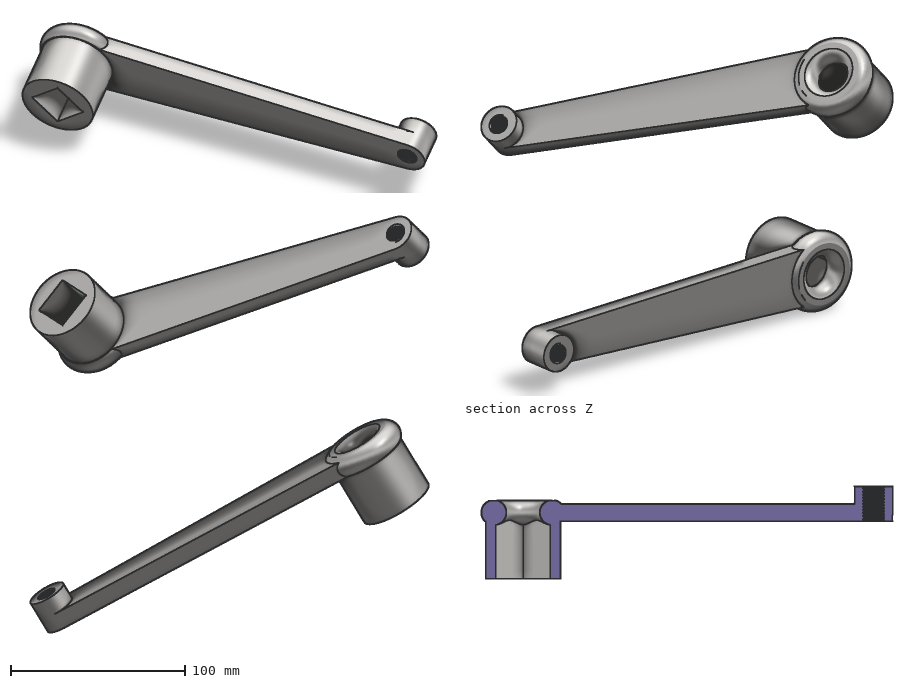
import cadquery as cq
import math


arm_length = 201.0
arm_thickness = 10.0
arm_hub_radius = 18.0
pin_radius = 22.0 / 2
pin_back = 20.0

flange_radius = 24.0
flange_thickness = 12.0
boss_radius = 43.0 / 2
boss_length = 33.0

ring_tube_radius = 7.25
ring_centre_y = arm_thickness / 2
ring_centre_radius = flange_radius - ring_tube_radius
ring_bore_radius = ring_centre_radius - ring_tube_radius

socket_side = 22.0

thread_major_radius = 12.0 / 2
thread_pitch = 1.75
thread_depth = 0.6134 * thread_pitch
thread_minor_radius = thread_major_radius - thread_depth
groove_half_angle = math.radians(30)
groove_root_width = thread_pitch / 8
groove_overlap = 0.2


def cylinder_along_y(x, radius, y_start, y_end):
    """Solid cylinder parallel to Y, centred at (x, Z = 0)."""
    return (
        cq.Workplane("XZ", origin=(x, y_start, 0))
        .circle(radius)
        .extrude(y_start - y_end)
    )


def ring_half_width(y):
    """Radial half-width of the ring tube at height y."""
    return math.sqrt(ring_tube_radius**2 - (y - ring_centre_y) ** 2)


def revolve_about_hub_axis(profile):
    """Full revolution of an XY profile about the Y axis."""
    return profile.revolve(360, (0, 0, 0), (0, 1, 0))


def make_hub():
    """Solid boss and the outer half of the ring, closed across the bore."""
    ring_front_radius = ring_centre_radius + ring_half_width(0)
    ring_back_radius = ring_centre_radius + ring_half_width(flange_thickness)
    return revolve_about_hub_axis(
        cq.Workplane("XY")
        .moveTo(0, -boss_length)
        .lineTo(boss_radius, -boss_length)
        .lineTo(boss_radius, 0)
        .lineTo(ring_front_radius, 0)
        .threePointArc((flange_radius, ring_centre_y), (ring_back_radius, flange_thickness))
        .lineTo(0, flange_thickness)
        .close()
    )


def make_arm():
    """Flat arm with straight edges tangent to the pin boss and to a circle at the hub."""
    tangent_sin = (arm_hub_radius - pin_radius) / arm_length
    tangent_cos = math.sqrt(1 - tangent_sin**2)
    hub_x = arm_hub_radius * tangent_sin
    hub_z = arm_hub_radius * tangent_cos
    pin_x = arm_length + pin_radius * tangent_sin
    pin_z = pin_radius * tangent_cos
    return (
        cq.Workplane("XZ")
        .moveTo(hub_x, hub_z)
        .lineTo(pin_x, pin_z)
        .threePointArc((arm_length + pin_radius, 0), (pin_x, -pin_z))
        .lineTo(hub_x, -hub_z)
        .close()
        .extrude(-arm_thickness)
    )


def make_socket_cut():
    """Square socket, standing on a corner, that opens into the rounded bore of the ring."""
    tube_front_y = ring_centre_y - ring_tube_radius
    tube_diagonal = ring_tube_radius * math.sqrt(0.5)
    front_arc_middle = (ring_centre_radius - tube_diagonal, ring_centre_y - tube_diagonal)
    back_arc_middle_y = (ring_centre_y + flange_thickness) / 2
    back_arc_middle = (ring_centre_radius - ring_half_width(back_arc_middle_y), back_arc_middle_y)
    back_bore_radius = ring_centre_radius - ring_half_width(flange_thickness)
    front_throat = revolve_about_hub_axis(
        cq.Workplane("XY")
        .moveTo(0, -boss_length)
        .lineTo(ring_centre_radius, -boss_length)
        .lineTo(ring_centre_radius, tube_front_y)
        .threePointArc(front_arc_middle, (ring_bore_radius, ring_centre_y))
        .lineTo(0, ring_centre_y)
        .close()
    )
    back_throat = revolve_about_hub_axis(
        cq.Workplane("XY")
        .moveTo(0, ring_centre_y)
        .lineTo(ring_bore_radius, ring_centre_y)
        .threePointArc(back_arc_middle, (back_bore_radius, flange_thickness))
        .lineTo(0, flange_thickness)
        .close()
    )
    square = (
        cq.Workplane("XZ", origin=(0, -boss_length, 0))
        .transformed(rotate=(0, 0, 45))
        .rect(socket_side, socket_side)
        .extrude(-(boss_length + ring_centre_y))
    )
    return square.intersect(front_throat).union(back_throat)


def make_groove_turn():
    """One right-handed turn of the thread groove, starting above the hole axis at Y = 0."""
    inner_radius = thread_minor_radius - groove_overlap
    root_half = groove_root_width / 2
    mouth_half = root_half + (thread_major_radius - inner_radius) * math.tan(groove_half_angle)
    helix = cq.Wire.makeHelix(thread_pitch, thread_pitch, thread_minor_radius)
    turn_along_z = (
        cq.Workplane("XZ")
        .moveTo(inner_radius, -mouth_half)
        .lineTo(thread_major_radius, -root_half)
        .lineTo(thread_major_radius, root_half)
        .lineTo(inner_radius, mouth_half)
        .close()
        .sweep(cq.Workplane(helix), isFrenet=True)
    )
    return (
        turn_along_z.rotate((0, 0, 0), (0, 0, 1), -90)
        .rotate((0, 0, 0), (1, 0, 0), -90)
        .translate((arm_length, 0, 0))
    )


def cut_thread(body):
    """Cut the groove turn by turn, running out past both ends of the hole."""
    turn = make_groove_turn()
    turn_count = math.ceil(pin_back / thread_pitch)
    for index in range(-1, turn_count):
        body = body.cut(turn.translate((0, index * thread_pitch, 0)))
    return body


pin_boss = cylinder_along_y(arm_length, pin_radius, 0, pin_back)
pin_hole = cylinder_along_y(arm_length, thread_minor_radius, 0, pin_back)

crank = make_hub().union(make_arm()).union(pin_boss)
crank = crank.cut(make_socket_cut())
result = cut_thread(crank.cut(pin_hole))